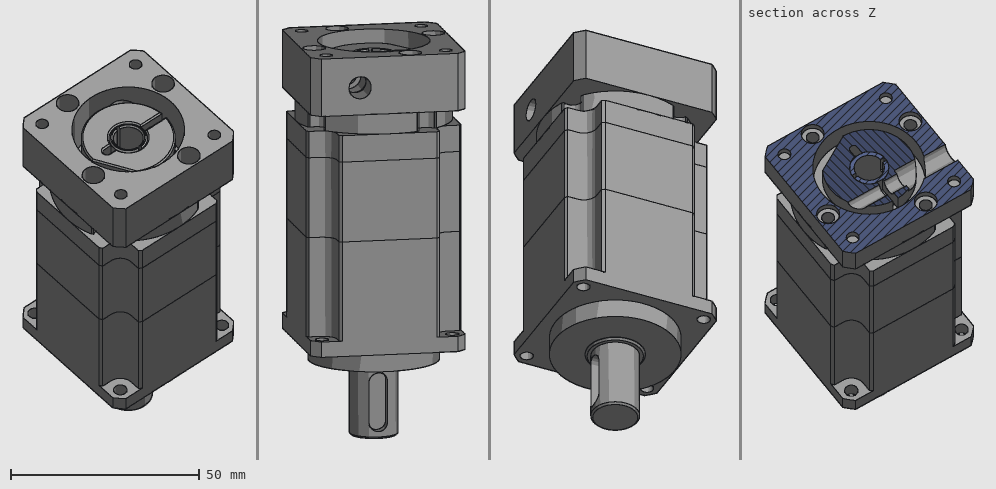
import cadquery as cq
import math


pilot_z = 20.5
flange_z = 25.8
flange_top_z = 30.0
ring_z = 56.9
input_z = 78.6
collar_z = 85.8
adapter_z = 91.2
top_z = 106.8

frame_side = 42.0
corner_radius = 28.0
notch_half = 13.7
notch_fillet = 3.8
notch_edge_radius = 24.6

pilot_radius = 17.5
flange_hole_radius = 3.5 / 2
flange_hole_circle = 25.0

shaft_radius = 6.5
shaft_chamfer = 0.5
shoulder_radius = 8.0
shoulder_height = 0.6
shoulder_chamfer = 0.5
key_length = 15.9
key_width = 5.0
key_depth = 3.0
key_center_z = 9.9

collar_radius = frame_side / 2
scoop_angle = -58.7
scoop_radius = 2.8
scoop_distance = 20.6
scoop_flat_width = 6.8
recess_radius = 10.9
recess_depth = 2.1

adapter_bore_radius = 15.0
motor_hole_circle = 23.0
motor_hole_radius = 3.3 / 2
motor_hole_depth = 10.0
bolt_circle = 18.6
bolt_angle = 20.0
bolt_hole_radius = 1.7
bolt_head_radius = 3.0
bolt_head_depth = 10.0
access_hole_radius = 3.0

clamp_top_z = top_z - 3.2
clamp_height = 10.0
clamp_bottom_z = clamp_top_z - clamp_height
clamp_radius = 12.5
clamp_flat_angle = -60.0
clamp_flat_distance = 10.8
clamp_chamfer = 0.4
clamp_slot_width = 1.7
relief_width = 2.1
relief_reach = 8.4
screw_y = 8.0
screw_z = clamp_top_z - clamp_height / 2
screw_head_radius = 3.5
screw_seat_x = -5.0
screw_clearance_radius = 2.2
screw_thread_radius = 1.9

sleeve_radius = 5.1
sleeve_bore_radius = 4.0
sleeve_chamfer = 0.4
sleeve_floor = 2.0
sleeve_slit_width = 1.0
sleeve_root_radius = 8.5
sleeve_collar_radius = 7.7
sleeve_collar_chamfer = 0.5


def cylinder(radius, bottom, top):
    return cq.Workplane("XY").workplane(offset=bottom).circle(radius).extrude(top - bottom)


def block(x_range, y_range, z_range):
    sizes = [high - low for low, high in (x_range, y_range, z_range)]
    origin = (x_range[0], y_range[0], z_range[0])
    return cq.Workplane("XY").box(*sizes, centered=False).translate(origin)


def quarter_turns(shape):
    """Yield four copies of a shape, a quarter turn apart about the axis."""
    for turn in range(4):
        yield shape.rotate((0, 0, 0), (0, 0, 1), 90 * turn)


def rounded_square(bottom, top):
    """Square plate whose corners lie on a cylinder."""
    plate = cq.Workplane("XY").workplane(offset=bottom).rect(frame_side, frame_side).extrude(top - bottom)
    return plate.intersect(cylinder(corner_radius, bottom, top))


def notched_square(bottom, top):
    """Square prism with a filleted notch along each vertical corner."""
    half = frame_side / 2
    bend = notch_half + notch_fillet
    arc_middle = bend - notch_fillet * math.sqrt(0.5)
    corner = (
        cq.Workplane("XY")
        .workplane(offset=bottom)
        .moveTo(half, notch_half)
        .lineTo(bend, notch_half)
        .threePointArc((arc_middle, arc_middle), (notch_half, bend))
        .lineTo(notch_half, half)
        .lineTo(half, half)
        .close()
        .extrude(top - bottom)
    )
    prism = cq.Workplane("XY").workplane(offset=bottom).rect(frame_side, frame_side).extrude(top - bottom)
    for notch in quarter_turns(corner):
        prism = prism.cut(notch)
    return prism.intersect(cylinder(notch_edge_radius, bottom, top))


def output_shaft_body():
    shoulder_z = pilot_z - shoulder_height
    shaft = cylinder(shaft_radius, 0, ring_z).faces("<Z").chamfer(shaft_chamfer)
    shoulder = cylinder(shoulder_radius, shoulder_z, ring_z).faces("<Z").chamfer(shoulder_chamfer)
    keyway = (
        cq.Workplane("YZ", origin=(-shaft_radius, 0, key_center_z))
        .slot2D(key_length, key_width, 90)
        .extrude(key_depth)
    )
    return shaft.union(shoulder).cut(keyway)


def output_housing_body():
    housing = notched_square(flange_z, ring_z).union(rounded_square(flange_z, flange_top_z))
    housing = housing.union(cylinder(pilot_radius, pilot_z, flange_z))
    offset = flange_hole_circle * math.sqrt(0.5)
    hole = cylinder(flange_hole_radius, flange_z, flange_top_z).translate((offset, offset, 0))
    for flange_hole in quarter_turns(hole):
        housing = housing.cut(flange_hole)
    return housing.cut(cylinder(shoulder_radius, pilot_z, ring_z))


def ring_gear_body():
    return notched_square(ring_z, input_z)


def collar_scoop():
    """Half-round scoop with a flat either side of it, on the rim of the collar."""
    outside = 2 * scoop_radius
    flat = block(
        (scoop_distance, scoop_distance + outside),
        (-scoop_flat_width / 2, scoop_flat_width / 2),
        (collar_z, adapter_z),
    )
    scoop = cylinder(scoop_radius, collar_z, adapter_z).translate((scoop_distance, 0, 0))
    return flat.union(scoop).rotate((0, 0, 0), (0, 0, 1), scoop_angle)


def input_housing_body():
    collar = cylinder(collar_radius, collar_z, adapter_z)
    for scoop in quarter_turns(collar_scoop()):
        collar = collar.cut(scoop)
    housing = notched_square(input_z, collar_z).union(collar)
    housing = housing.cut(cylinder(recess_radius, adapter_z - recess_depth, adapter_z))
    return housing.cut(cylinder(sleeve_root_radius, input_z, adapter_z))


def motor_adapter_body():
    adapter = rounded_square(adapter_z, top_z).cut(cylinder(adapter_bore_radius, adapter_z, top_z))

    offset = motor_hole_circle * math.sqrt(0.5)
    motor_hole = cylinder(motor_hole_radius, top_z - motor_hole_depth, top_z).translate((offset, offset, 0))

    bolt_hole = cylinder(bolt_hole_radius, adapter_z, top_z)
    bolt_hole = bolt_hole.union(cylinder(bolt_head_radius, top_z - bolt_head_depth, top_z))
    bolt_hole = bolt_hole.translate((bolt_circle, 0, 0)).rotate((0, 0, 0), (0, 0, 1), bolt_angle)

    for hole in (motor_hole, bolt_hole):
        for copy in quarter_turns(hole):
            adapter = adapter.cut(copy)

    access_hole = (
        cq.Workplane("YZ", origin=(-frame_side / 2, screw_y, screw_z))
        .circle(access_hole_radius)
        .extrude(frame_side / 2)
    )
    return adapter.cut(access_hole)


def clamp_ring_body():
    z_range = (clamp_bottom_z, clamp_top_z)
    clamp = cylinder(clamp_radius, *z_range)
    flat = block((clamp_flat_distance, clamp_radius), (-clamp_radius, clamp_radius), z_range)
    clamp = clamp.cut(flat.rotate((0, 0, 0), (0, 0, 1), clamp_flat_angle))
    clamp = clamp.cut(cylinder(sleeve_radius, *z_range))

    slot = block((-clamp_slot_width / 2, clamp_slot_width / 2), (0, clamp_radius), z_range)
    relief_end = relief_reach - relief_width / 2
    relief = block((-relief_width / 2, relief_width / 2), (-relief_end, 0), z_range)
    relief = relief.union(cylinder(relief_width / 2, *z_range).translate((0, -relief_end, 0)))
    clamp = clamp.cut(slot).cut(relief)
    clamp = clamp.faces(">Z").chamfer(clamp_chamfer)

    screw_axis = cq.Workplane("YZ", origin=(0, screw_y, screw_z))
    clearance = screw_axis.circle(screw_clearance_radius).extrude(-clamp_radius)
    thread = screw_axis.circle(screw_thread_radius).extrude(clamp_radius)
    head_pocket = (
        cq.Workplane("YZ", origin=(screw_seat_x, screw_y, screw_z))
        .circle(screw_head_radius)
        .extrude(-clamp_radius)
    )
    return clamp.cut(clearance).cut(thread).cut(head_pocket)


def collet_sleeve_body():
    recess_floor_z = adapter_z - recess_depth
    root = cylinder(sleeve_root_radius, input_z, recess_floor_z)
    collar = cylinder(sleeve_collar_radius, recess_floor_z, clamp_bottom_z)
    collar = collar.faces(">Z").chamfer(sleeve_collar_chamfer)
    bore = cylinder(sleeve_bore_radius, input_z + sleeve_floor, clamp_top_z)
    tube = cylinder(sleeve_radius, clamp_bottom_z, clamp_top_z)
    tube = tube.cut(bore).faces(">Z").chamfer(sleeve_chamfer)
    slit = block(
        (-sleeve_radius, sleeve_radius),
        (-sleeve_slit_width / 2, sleeve_slit_width / 2),
        (clamp_bottom_z, clamp_top_z),
    )
    return root.union(collar).cut(bore).union(tube.cut(slit))


output_shaft = output_shaft_body()
output_housing = output_housing_body()
ring_gear = ring_gear_body()
input_housing = input_housing_body()
motor_adapter = motor_adapter_body()
clamp_ring = clamp_ring_body()
collet_sleeve = collet_sleeve_body()

result = cq.Compound.makeCompound(
    [
        output_shaft.val(),
        output_housing.val(),
        ring_gear.val(),
        input_housing.val(),
        motor_adapter.val(),
        clamp_ring.val(),
        collet_sleeve.val(),
    ]
)